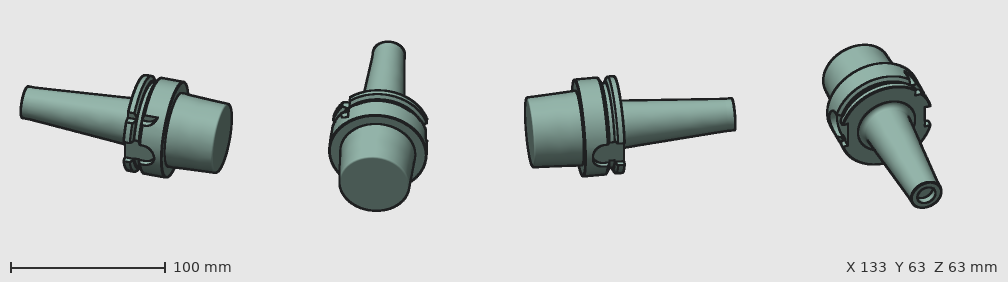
import cadquery as cq
import math

total_length = 133.0
nose_length = 5.0
neck_start = 70.9
flange_start = 75.0
flange_end = 101.1

nose_radius = 21.0 / 2
neck_radius = 30.6 / 2
flange_radius = 63.0 / 2
taper_large_radius = 24.3
taper_small_radius = 22.7
edge_break = 0.4
taper_end_fillet = 1.2

neck_fillet = 3.2
rim_radius = 19.7
rim_height = 0.1

groove_center = 82.9
groove_floor_radius = 27.5
groove_wall_radius = 28.7
groove_floor_width = 3.3
groove_flank_angle = 30.0

clearance = 1.3

bore_diameter = 12.5
bore_depth = 5.3

slot_floor = 26.5
slot_end = 96.0
front_slot_width = 16.0
front_slot_corner = 8.0
back_slot_width = 18.1
back_slot_corner = 8.0

notch_offset = 19.8
notch_runout_start = 87.9
notch_runout_radius = 8.0


def make_body():
    """Revolve the nose, conical neck, flange and hollow-shank taper about X."""
    rim_face = flange_start - rim_height
    fillet_start = rim_face - neck_fillet
    arc_inset = neck_fillet * math.sqrt(0.5)
    land_radius = flange_radius - edge_break
    profile = (
        cq.Workplane("XY")
        .moveTo(0, 0)
        .lineTo(0, nose_radius - edge_break)
        .lineTo(edge_break, nose_radius)
        .lineTo(nose_length, nose_radius)
        .lineTo(neck_start, neck_radius)
        .lineTo(fillet_start, neck_radius)
        .threePointArc(
            (fillet_start + arc_inset, neck_radius + neck_fillet - arc_inset),
            (rim_face, neck_radius + neck_fillet),
        )
        .lineTo(rim_face, rim_radius)
        .lineTo(flange_start, rim_radius)
        .lineTo(flange_start, land_radius)
        .lineTo(flange_start + edge_break, flange_radius)
        .lineTo(flange_end - edge_break, flange_radius)
        .lineTo(flange_end, land_radius)
        .lineTo(flange_end, taper_large_radius)
        .lineTo(total_length, taper_small_radius)
        .lineTo(total_length, 0)
        .close()
    )
    body = profile.revolve(360, (0, 0, 0), (1, 0, 0))
    return body.faces(">X").edges().fillet(taper_end_fillet)


def make_groove():
    """Ring with straight lower walls, sloping flanks and broken outer edges."""
    half_floor = groove_floor_width / 2
    flank_top_radius = flange_radius - edge_break
    flank_run = (flank_top_radius - groove_wall_radius) * math.tan(math.radians(groove_flank_angle))
    half_flank = half_floor + flank_run
    half_mouth = half_flank + edge_break
    outside_radius = flange_radius + clearance
    half_profile = [
        (half_floor, groove_floor_radius),
        (half_floor, groove_wall_radius),
        (half_flank, flank_top_radius),
        (half_mouth, flange_radius),
        (half_mouth, outside_radius),
    ]
    right = [(groove_center + x, r) for x, r in half_profile]
    left = [(groove_center - x, r) for x, r in reversed(half_profile)]
    return cq.Workplane("XY").polyline(right + left).close().revolve(360, (0, 0, 0), (1, 0, 0))


def make_slot(side, width, corner):
    """Slot open at the flange face; side is -1 for -Y and +1 for +Y."""
    start = flange_start - clearance
    depth = flange_radius - slot_floor + clearance
    straight_end = slot_end - corner
    corner_inset = corner * (1 - math.sqrt(0.5))
    half_width = width / 2
    half_flat = half_width - corner
    outline = (
        cq.Workplane("XZ", origin=(0, side * slot_floor, 0))
        .moveTo(start, -half_width)
        .lineTo(straight_end, -half_width)
        .threePointArc(
            (slot_end - corner_inset, -half_width + corner_inset),
            (slot_end, -half_flat),
        )
    )
    if half_flat > 0:
        outline = outline.lineTo(slot_end, half_flat)
    outline = outline.threePointArc(
        (slot_end - corner_inset, half_width - corner_inset),
        (straight_end, half_width),
    )
    return outline.lineTo(start, half_width).close().extrude(-side * depth)


def make_notch():
    """Square-cornered notch toward -Y and +Z, ending in a round run-out."""
    start = flange_start - clearance
    top = notch_offset + notch_runout_radius
    arc_inset = notch_runout_radius * math.sqrt(0.5)
    return (
        cq.Workplane("XZ", origin=(0, -notch_offset, 0))
        .moveTo(start, notch_offset)
        .lineTo(notch_runout_start, notch_offset)
        .threePointArc(
            (notch_runout_start + arc_inset, top - arc_inset),
            (notch_runout_start + notch_runout_radius, top),
        )
        .lineTo(start, top)
        .close()
        .extrude(flange_radius)
    )


bore = cq.Workplane("YZ").circle(bore_diameter / 2).extrude(bore_depth)

result = (
    make_body()
    .cut(make_groove())
    .cut(make_slot(-1, front_slot_width, front_slot_corner))
    .cut(make_slot(1, back_slot_width, back_slot_corner))
    .cut(make_notch())
    .cut(bore)
)